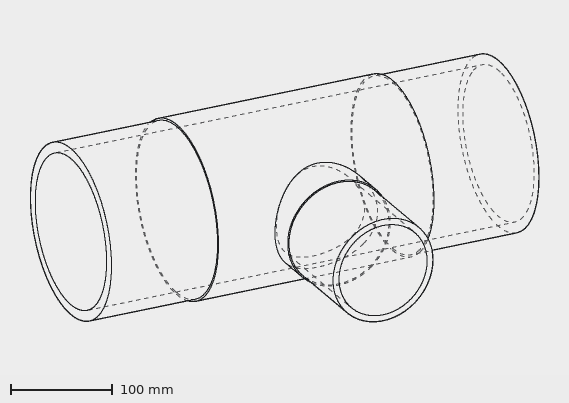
import cadquery as cq

run_length = 470.0
run_diameter = 180.0
run_bore = 158.5
sleeve_diameter = 184.2
sleeve_length = 237.0

overall_width = 310.0
branch_reach = overall_width - sleeve_diameter / 2
branch_diameter = 110.0
branch_bore = 97.0
collar_diameter = 113.0
spigot_length = 97.8
collar_reach = branch_reach - spigot_length


def run_cylinder(diameter, length):
    """Cylinder along Y, centred on the origin."""
    return cq.Workplane("XZ").circle(diameter / 2).extrude(length / 2, both=True)


def branch_cylinder(diameter, reach):
    """Cylinder from the run axis out along +X."""
    return cq.Workplane("YZ").circle(diameter / 2).extrude(reach)


body = (
    run_cylinder(run_diameter, run_length)
    .union(run_cylinder(sleeve_diameter, sleeve_length))
    .union(branch_cylinder(collar_diameter, collar_reach))
    .union(branch_cylinder(branch_diameter, branch_reach))
)

result = (
    body
    .cut(run_cylinder(run_bore, run_length))
    .cut(branch_cylinder(branch_bore, branch_reach))
)